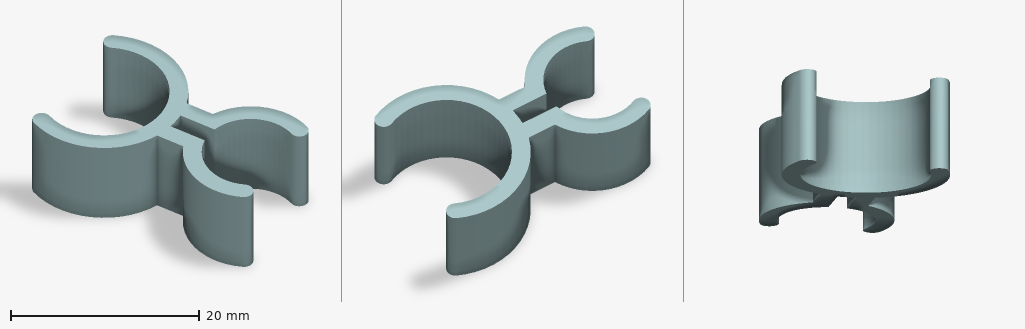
import cadquery as cq
import math

height = 10.0
wall = 2.0
large_inner_radius = 6.95
small_inner_radius = 5.2
clip_spacing = 18.25
mouth_half_angle = 65.0
web_gap = 2.0

large_outer_radius = large_inner_radius + wall
web_inner_y = web_gap / 2
web_outer_y = web_inner_y + wall


def clip(center_x, inner_radius, mouth_direction):
    """C-shaped clip with round tips; mouth_direction is -1 (toward -X) or +1 (toward +X)."""
    outer_radius = inner_radius + wall
    tip_radius = inner_radius + wall / 2
    mouth_x = mouth_direction * math.cos(math.radians(mouth_half_angle))
    mouth_y = math.sin(math.radians(mouth_half_angle))

    cap_x = center_x + tip_radius * mouth_x + mouth_direction * wall / 2 * mouth_y
    cap_y = tip_radius * mouth_y - wall / 2 * abs(mouth_x)

    def ring_end(radius, side):
        return (center_x + radius * mouth_x, side * radius * mouth_y)

    def ring_back(radius):
        return (center_x - mouth_direction * radius, 0)

    return (
        cq.Workplane("XY")
        .moveTo(*ring_end(outer_radius, 1))
        .threePointArc(ring_back(outer_radius), ring_end(outer_radius, -1))
        .threePointArc((cap_x, -cap_y), ring_end(inner_radius, -1))
        .threePointArc(ring_back(inner_radius), ring_end(inner_radius, 1))
        .threePointArc((cap_x, cap_y), ring_end(outer_radius, 1))
        .close()
        .extrude(height)
    )


def block(x_start, x_end, y_start, y_end):
    """Full-height rectangular block between the given X and Y limits."""
    return (
        cq.Workplane("XY")
        .moveTo(x_start, y_start)
        .lineTo(x_end, y_start)
        .lineTo(x_end, y_end)
        .lineTo(x_start, y_end)
        .close()
        .extrude(height)
    )


def small_clip_halves():
    """Small clip split at its back by the gap that runs on between the webs."""
    gap = block(large_outer_radius, clip_spacing, -web_inner_y, web_inner_y)
    return clip(clip_spacing, small_inner_radius, 1).cut(gap)


def cylinder(center_x, radius):
    """Full-height upright cylinder centred on the X axis."""
    return cq.Workplane("XY").center(center_x, 0).circle(radius).extrude(height)


def webs():
    """Pair of parallel webs, rooted midway through the large clip's wall, that end at the small bore."""
    upper = block(0, clip_spacing, web_inner_y, web_outer_y)
    lower = block(0, clip_spacing, -web_outer_y, -web_inner_y)
    root = cylinder(0, large_inner_radius + wall / 2)
    small_bore = cylinder(clip_spacing, small_inner_radius)
    return upper.union(lower).cut(root).cut(small_bore)


result = clip(0, large_inner_radius, -1).union(small_clip_halves()).union(webs())